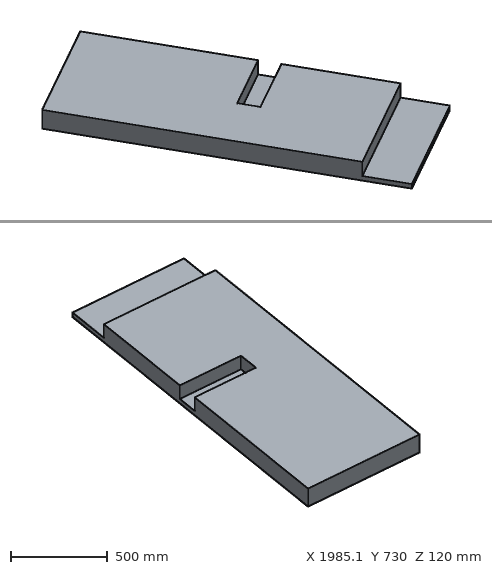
import cadquery as cq

length = 1985.1
width = 730.0
height = 120.0

main_length = 1720.0
tongue_thickness = 30.0

slot_start = 955.0
slot_width = 125.0
slot_length = 400.0
slot_floor = 30.0


def make_base():
    """Full-length thin plate."""
    return cq.Workplane("XY").box(length, width, tongue_thickness, centered=False)


def make_main_slab():
    """Full-height rectangular slab."""
    return cq.Workplane("XY").box(main_length, width, height, centered=False)


def make_slot():
    """Cutting block for the slot."""
    return (
        cq.Workplane("XY")
        .box(slot_width, slot_length, height - slot_floor, centered=False)
        .translate((slot_start, width - slot_length, slot_floor))
    )


result = make_base().union(make_main_slab()).cut(make_slot())